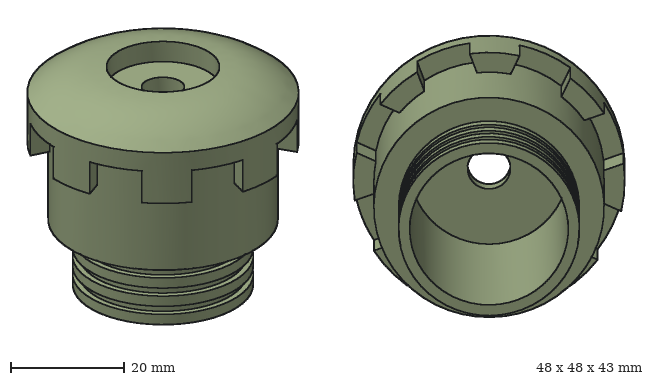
import cadquery as cq
import math

cap_radius = 24.0
total_height = 43.0

neck_radius = 16.0
groove_radius = 14.8
groove_height = 1.6
groove_pitch = 3.6
groove_count = 3
first_groove_base = 2.05

body_radius = 20.35
body_base = 12.95
skirt_base = 28.0
slot_top = 34.25
dome_base = 38.0

slot_count = 8
slot_width = 9.9

recess_radius = 10.0
recess_depth = 4.0
hole_radius = 3.8
hole_depth = 2.98
cavity_radius = 14.0


def disc(radius, base, top):
    """Cylinder on the Z axis between two heights."""
    return cq.Workplane("XY").workplane(offset=base).circle(radius).extrude(top - base)


def dome():
    """Revolved crown whose arc leaves the flat top tangentially."""
    run = cap_radius - recess_radius
    rise = total_height - dome_base
    arc_radius = (run**2 + rise**2) / (2 * rise)
    half_sweep = math.asin(run / arc_radius) / 2
    arc_middle = (
        recess_radius + arc_radius * math.sin(half_sweep),
        total_height - arc_radius * (1 - math.cos(half_sweep)),
    )
    return (
        cq.Workplane("XZ")
        .moveTo(0, dome_base)
        .lineTo(cap_radius, dome_base)
        .threePointArc(arc_middle, (recess_radius, total_height))
        .lineTo(0, total_height)
        .close()
        .revolve(360, (0, 0, 0), (0, 1, 0))
    )


def neck():
    """Neck cylinder with evenly spaced ring grooves."""
    shape = disc(neck_radius, 0, body_base)
    for index in range(groove_count):
        base = first_groove_base + index * groove_pitch
        top = base + groove_height
        shape = shape.cut(disc(neck_radius, base, top).cut(disc(groove_radius, base, top)))
    return shape


def skirt():
    """Cap rim with parallel-sided slots opening downward."""
    shape = disc(cap_radius, skirt_base, dome_base)
    slots = (
        cq.Workplane("XY")
        .workplane(offset=skirt_base)
        .polarArray(cap_radius, 0, 360, slot_count)
        .rect(cap_radius, slot_width)
        .extrude(slot_top - skirt_base)
    )
    return shape.cut(slots)


recess_floor = total_height - recess_depth
hole_base = recess_floor - hole_depth

result = neck().union(disc(body_radius, body_base, dome_base)).union(skirt()).union(dome())
result = result.cut(disc(recess_radius, recess_floor, total_height))
result = result.cut(disc(hole_radius, hole_base, recess_floor))
result = result.cut(disc(cavity_radius, 0, hole_base))